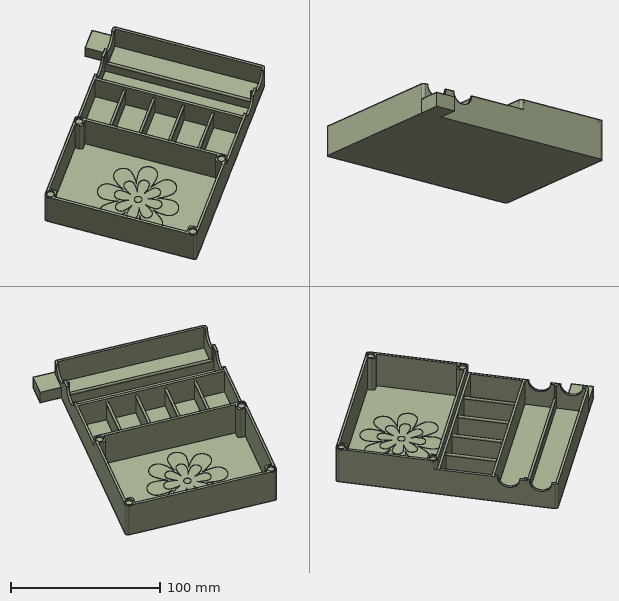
import cadquery as cq

width = 107.0
length = 152.0
box_height = 28.0
rear_height = 21.0
corner_radius = 2.0
wall = 1.7
floor = 1.0

box_length = 69.5
post_side = 7.0
post_pocket_diameter = 5.3
post_pocket_depth = 1.5
post_pocket_inset = 3.3

trough_length = 42.0
rib_thickness = 1.0
rib_height = 10.0
rib_end_length = 1.4
rest_radius = 7.6
rest_spacing = 21.9

cell_count = 5
divider_thickness = 1.0
divider_height = 17.0

bead_diameter = 2.0

block_side = 15.0
block_height = 10.0

petal_count = 8
relief = 0.2
flower_center_x = 55.0
flower_center_y = 34.7
flower_eye_diameter = 5.0
outer_petal_length = 28.3
outer_petal_width = 12.9
inner_petal_length = 16.5
inner_petal_width = 7.3
petal_side_slope = 0.42

inner_width = width - 2 * wall
trough_rear = length - wall
trough_front = trough_rear - trough_length
trough_middle = (trough_rear + trough_front) / 2
cells_rear = trough_front - wall
cells_front = box_length + wall
box_inner_rear = box_length - wall


def block(x0, x1, y0, y1, z0, z1):
    """Box between two opposite corners."""
    return cq.Workplane("XY").box(x1 - x0, y1 - y0, z1 - z0, centered=False).translate((x0, y0, z0))


def rounded_block(y_start, y_end, height):
    """Full-width block with rounded upright edges."""
    return block(0, width, y_start, y_end, 0, height).edges("|Z").fillet(corner_radius)


def cavity(y_start, y_end):
    """Full-width open compartment above the floor."""
    return block(wall, width - wall, y_start, y_end, floor, box_height)


def tray():
    """Low rear body and high front box, hollowed into three compartments."""
    body = rounded_block(0, length, rear_height).union(rounded_block(0, box_length, box_height))
    body = body.cut(cavity(wall, box_inner_rear))
    body = body.cut(cavity(cells_front, cells_rear))
    return body.cut(cavity(trough_front, trough_rear))


def corner_posts():
    """Square posts in the corners of the deep box, with the same rounding as its outer corners."""
    posts = cq.Workplane("XY")
    for x in (post_side / 2, width - post_side / 2):
        for y in (post_side / 2, box_length - post_side / 2):
            post = cq.Workplane("XY").box(post_side, post_side, box_height, centered=(True, True, False))
            posts = posts.add(post.edges("|Z").fillet(corner_radius).translate((x, y, 0)))
    return posts.combine()


def post_pockets():
    """Shallow round pockets in the tops of the corner posts."""
    x_places = (post_pocket_inset, width - post_pocket_inset)
    y_places = (post_pocket_inset, box_length - post_pocket_inset)
    return (
        cq.Workplane("XY", origin=(0, 0, box_height - post_pocket_depth))
        .pushPoints([(x, y) for x in x_places for y in y_places])
        .circle(post_pocket_diameter / 2)
        .extrude(post_pocket_depth)
    )


def trough_rib():
    """Low rib along the trough that rises to the rim beside the two side walls."""
    y0 = trough_middle - rib_thickness / 2
    y1 = trough_middle + rib_thickness / 2
    rib = block(wall, width - wall, y0, y1, 0, rear_height)
    notch_start = wall + rib_end_length
    rib = rib.cut(block(notch_start, width - notch_start, y0, y1, rib_height, rear_height))
    bead = (
        cq.Workplane("YZ", origin=(notch_start, trough_middle, rib_height))
        .circle(bead_diameter / 2)
        .extrude(width - 2 * notch_start)
    )
    return rib.union(bead)


def pen_rests():
    """Half-round cuts through both side walls."""
    return (
        cq.Workplane("YZ")
        .pushPoints([(trough_middle + side * rest_spacing / 2, rear_height) for side in (-1, 1)])
        .circle(rest_radius)
        .extrude(width)
    )


def cell_dividers():
    """Thin upright walls that split the middle row into equal cells."""
    pitch = inner_width / cell_count
    half = divider_thickness / 2
    dividers = cq.Workplane("XY")
    for i in range(1, cell_count):
        x = wall + i * pitch
        plate = block(x - half, x + half, cells_front, cells_rear, 0, divider_height)
        bead = (
            cq.Workplane("XZ", origin=(x, cells_rear, divider_height))
            .circle(bead_diameter / 2)
            .extrude(cells_rear - cells_front)
        )
        dividers = dividers.add(plate.union(bead))
    return dividers.combine()


def petals(petal_length, petal_width, height):
    """Ring of drop-shaped petals: a round end with sides that narrow to the flower's centre."""
    cap_radius = petal_width / 2
    cap_center = petal_length - cap_radius
    petal = (
        cq.Workplane("XY")
        .moveTo(0, 0)
        .spline([(cap_center, -cap_radius)], tangents=[(1, -petal_side_slope), (1, 0)], includeCurrent=True)
        .threePointArc((petal_length, 0), (cap_center, cap_radius))
        .spline([(0, 0)], tangents=[(-1, 0), (-1, -petal_side_slope)], includeCurrent=True)
        .close()
        .extrude(height)
    )
    ring = petal
    for i in range(1, petal_count):
        ring = ring.union(petal.rotate((0, 0, 0), (0, 0, 1), i * 360 / petal_count))
    return ring


def flower():
    """Two stacked petal rings and a round eye."""
    shape = petals(outer_petal_length, outer_petal_width, floor + relief)
    shape = shape.union(petals(inner_petal_length, inner_petal_width, floor + 2 * relief))
    shape = shape.union(cq.Workplane("XY").circle(flower_eye_diameter / 2).extrude(floor + 3 * relief))
    return shape.translate((flower_center_x, flower_center_y, 0))


def corner_block():
    """Block beside the rear left corner, reaching in over the corner rounding."""
    return block(-block_side, wall, length - block_side, length, 0, block_height)


result = tray().union(corner_posts()).cut(post_pockets())
result = result.union(trough_rib()).cut(pen_rests())
result = result.union(cell_dividers())
result = result.union(flower())
result = result.union(corner_block())